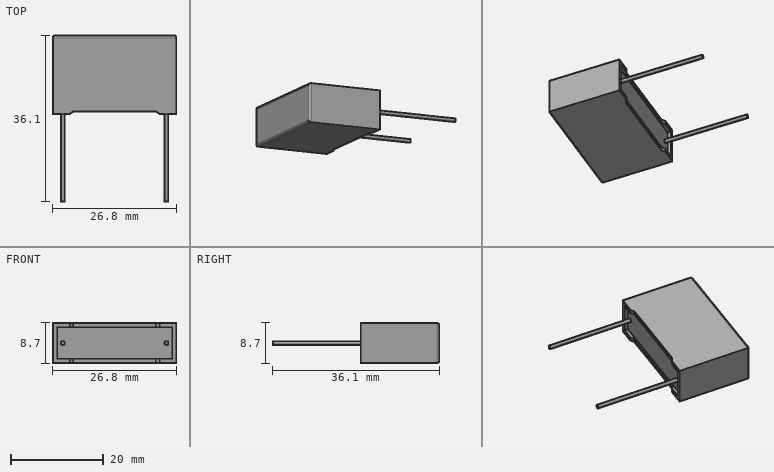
import cadquery as cq

TOTAL_LENGTH = 36.1
CASE_WIDTH = 26.8
CASE_HEIGHT = 8.7
CASE_LENGTH = 17.08

WALL = 0.9
BACK_EDGE_RADIUS = 0.5
NOTCH_DEPTH = 0.55
NOTCH_INSET = 3.65
NOTCH_RAMP = 0.8

RESIN_RECESS = 0.75
LEAD_DIAMETER = 0.85
LEAD_PITCH = 22.5

BACK_Y = TOTAL_LENGTH / 2
MOUTH_Y = BACK_Y - CASE_LENGTH
RESIN_Y = MOUTH_Y + RESIN_RECESS
LEAD_TIP_Y = -TOTAL_LENGTH / 2

CAVITY_WIDTH = CASE_WIDTH - 2 * WALL
CAVITY_HEIGHT = CASE_HEIGHT - 2 * WALL


def block_along_y(width, height, front_y, back_y):
    """Box centred on X and Z, reaching from front_y to back_y."""
    return cq.Workplane("XY").box(width, back_y - front_y, height).translate(
        (0, (front_y + back_y) / 2, 0)
    )


def make_mouth_notch():
    """Sloped-end cut across the top and bottom walls at the mouth."""
    outer_x = CASE_WIDTH / 2 - NOTCH_INSET
    inner_x = outer_x - NOTCH_RAMP
    floor_y = MOUTH_Y + NOTCH_DEPTH
    return (
        cq.Workplane("XY")
        .polyline([(-outer_x, MOUTH_Y), (-inner_x, floor_y), (inner_x, floor_y), (outer_x, MOUTH_Y)])
        .close()
        .extrude(CASE_HEIGHT / 2, both=True)
    )


def make_case():
    """Box open toward -Y, with a rounded back and a notched mouth."""
    shell = block_along_y(CASE_WIDTH, CASE_HEIGHT, MOUTH_Y, BACK_Y)
    shell = shell.faces(">Y").edges().fillet(BACK_EDGE_RADIUS)
    cavity = block_along_y(CAVITY_WIDTH, CAVITY_HEIGHT, MOUTH_Y, BACK_Y - WALL)
    return shell.cut(cavity).cut(make_mouth_notch())


def make_resin():
    """Solid filling of the case cavity, set back from the mouth."""
    return block_along_y(CAVITY_WIDTH, CAVITY_HEIGHT, RESIN_Y, BACK_Y - WALL)


def make_lead(x):
    """Round wire from its tip to the resin face, which it touches."""
    return (
        cq.Workplane("XZ", origin=(x, RESIN_Y, 0))
        .circle(LEAD_DIAMETER / 2)
        .extrude(RESIN_Y - LEAD_TIP_Y)
    )


case = make_case()
resin = make_resin()
leads = []
for side in (-1, 1):
    leads.append(make_lead(side * LEAD_PITCH / 2).val())

result = cq.Compound.makeCompound([case.val(), resin.val(), *leads])